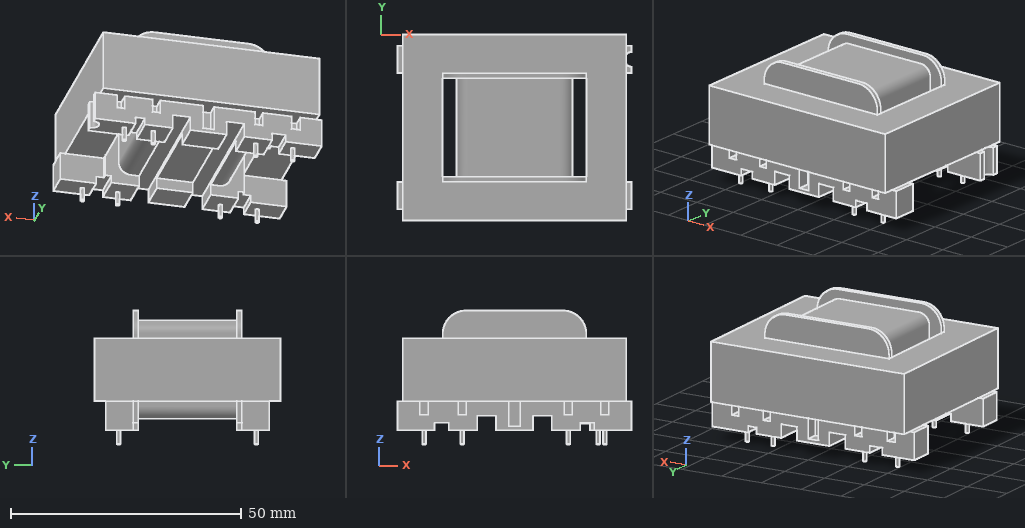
import cadquery as cq


CORE_LENGTH = 48.55
CORE_WIDTH = 40.4
CORE_HEIGHT = 13.7
WINDOW_LENGTH = 31.25
WINDOW_WIDTH = 23.65

FLANGE_THICKNESS = 1.15
FLANGE_TOP = 19.7
FLANGE_RADIUS = 5.15

COIL_LENGTH = 25.2
COIL_HEIGHT = 21.45
COIL_RADIUS = 2.65

FOOT_LENGTH = 50.85
FOOT_HEIGHT = 6.35
FOOT_OUTER_Y = 17.75
FOOT_INNER_Y = WINDOW_WIDTH / 2
FOOT_WIDTH = FOOT_OUTER_Y - FOOT_INNER_Y
FOOT_CENTRE_Y = FOOT_INNER_Y + FOOT_WIDTH / 2

LARGE_NOTCH_X = 6.05
LARGE_NOTCH_WIDTH = 3.95
LARGE_NOTCH_TOP = -3.2
SMALL_NOTCH_X = 15.8
SMALL_NOTCH_WIDTH = 3.05
SMALL_NOTCH_TOP = -4.75
NARROW_NOTCH_WIDTH = 2.1
NARROW_NOTCH_TOP = -4.9

SLOT_DEPTH = FOOT_WIDTH / 2
WIRE_SLOT_HEIGHT = 3.0
WIRE_SLOT_WIDTH = 1.75
WIDE_SLOT_WIDTH = 1.95
CENTRE_SLOT_WIDTH = 2.5
CENTRE_SLOT_HEIGHT = 5.5

INDEX_RADIUS = 1.6

PIN_DIAMETER = 0.85
PIN_LENGTH = 3.1
PIN_CHAMFER = 0.2
PIN_ROW_Y = 14.95
OUTER_PIN_X = 19.65
LEFT_PIN_X = -11.35
RIGHT_PIN_X = 11.7
INSET_PIN_X = 18.15
FRONT_PINS_X = (-OUTER_PIN_X, LEFT_PIN_X, RIGHT_PIN_X, OUTER_PIN_X)
BACK_PINS_X = (-OUTER_PIN_X, LEFT_PIN_X, RIGHT_PIN_X, INSET_PIN_X)

SLOTS = (
    (-OUTER_PIN_X, WIDE_SLOT_WIDTH, WIRE_SLOT_HEIGHT),
    (LEFT_PIN_X, WIRE_SLOT_WIDTH, WIRE_SLOT_HEIGHT),
    (0, CENTRE_SLOT_WIDTH, CENTRE_SLOT_HEIGHT),
    (RIGHT_PIN_X, WIRE_SLOT_WIDTH, WIRE_SLOT_HEIGHT),
    (OUTER_PIN_X, WIRE_SLOT_WIDTH, WIRE_SLOT_HEIGHT),
)

FRONT = -1
BACK = 1


def block(x_centre, x_size, y_start, y_end, z_bottom, z_top):
    """Box centred on x_centre that spans the given Y and Z ranges."""
    centre = (x_centre, (y_start + y_end) / 2, (z_bottom + z_top) / 2)
    return cq.Workplane("XY").box(x_size, abs(y_end - y_start), z_top - z_bottom).translate(centre)


def make_core():
    """Rectangular frame with a window through it."""
    frame = cq.Workplane("XY").rect(CORE_LENGTH, CORE_WIDTH).rect(WINDOW_LENGTH, WINDOW_WIDTH)
    return frame.extrude(CORE_HEIGHT)


def make_coil():
    """Rounded winding, centred on the core height, reaching from flange to flange."""
    half_span = WINDOW_WIDTH / 2 - FLANGE_THICKNESS
    z_centre = CORE_HEIGHT / 2
    coil = block(0, COIL_LENGTH, -half_span, half_span,
                 z_centre - COIL_HEIGHT / 2, z_centre + COIL_HEIGHT / 2)
    return coil.edges("|Y").fillet(COIL_RADIUS)


def make_flange(side):
    """Upright plate with rounded upper corners at one end of the coil."""
    outer_y = side * WINDOW_WIDTH / 2
    inner_y = outer_y - side * FLANGE_THICKNESS
    plate = block(0, WINDOW_LENGTH, outer_y, inner_y, -FOOT_HEIGHT, FLANGE_TOP)
    return plate.faces(">Z").edges("|Y").fillet(FLANGE_RADIUS)


def make_foot(side):
    """Bar below the core with blind wire slots in its outer face."""
    outer_y = side * FOOT_OUTER_Y
    foot = block(0, FOOT_LENGTH, side * FOOT_INNER_Y, outer_y, -FOOT_HEIGHT, 0)
    for x, width, height in SLOTS:
        foot = foot.cut(block(x, width, outer_y - side * SLOT_DEPTH, outer_y, -height, 0))
    return foot


def make_pin(x, y):
    """Round pin below a foot with a chamfered tip."""
    pin = cq.Workplane("XY", origin=(x, y, -FOOT_HEIGHT)).circle(PIN_DIAMETER / 2).extrude(-PIN_LENGTH)
    return pin.faces("<Z").chamfer(PIN_CHAMFER)


def cut_notches(bobbin):
    """Notches across the underside; the large ones also cut the coil."""
    for x in (-LARGE_NOTCH_X, LARGE_NOTCH_X):
        bobbin = bobbin.cut(
            block(x, LARGE_NOTCH_WIDTH, -FOOT_OUTER_Y, FOOT_OUTER_Y, -FOOT_HEIGHT, LARGE_NOTCH_TOP))

    small_notches = ((-SMALL_NOTCH_X, FRONT), (SMALL_NOTCH_X, FRONT), (-SMALL_NOTCH_X, BACK))
    for x, side in small_notches:
        bobbin = bobbin.cut(
            block(x, SMALL_NOTCH_WIDTH, 0, side * FOOT_OUTER_Y, -FOOT_HEIGHT, SMALL_NOTCH_TOP))

    inner_wall_x = SMALL_NOTCH_X - SMALL_NOTCH_WIDTH / 2
    narrow_x = inner_wall_x + NARROW_NOTCH_WIDTH / 2
    return bobbin.cut(
        block(narrow_x, NARROW_NOTCH_WIDTH, 0, FOOT_OUTER_Y, -FOOT_HEIGHT, NARROW_NOTCH_TOP))


def cut_index_notch(bobbin):
    """Half-round notch down the +X end of the back foot."""
    origin = (FOOT_LENGTH / 2, FOOT_CENTRE_Y, -FOOT_HEIGHT)
    return bobbin.cut(cq.Workplane("XY", origin=origin).circle(INDEX_RADIUS).extrude(FOOT_HEIGHT))


def make_bobbin():
    """Coil, flanges, feet and pins as one solid."""
    bobbin = make_coil()
    for side in (FRONT, BACK):
        bobbin = bobbin.union(make_flange(side)).union(make_foot(side))
    bobbin = cut_index_notch(cut_notches(bobbin))
    for side, pins_x in ((FRONT, FRONT_PINS_X), (BACK, BACK_PINS_X)):
        for x in pins_x:
            bobbin = bobbin.union(make_pin(x, side * PIN_ROW_Y))
    return bobbin


core = make_core()
bobbin = make_bobbin()

result = cq.Compound.makeCompound([core.val(), *bobbin.solids().vals()])